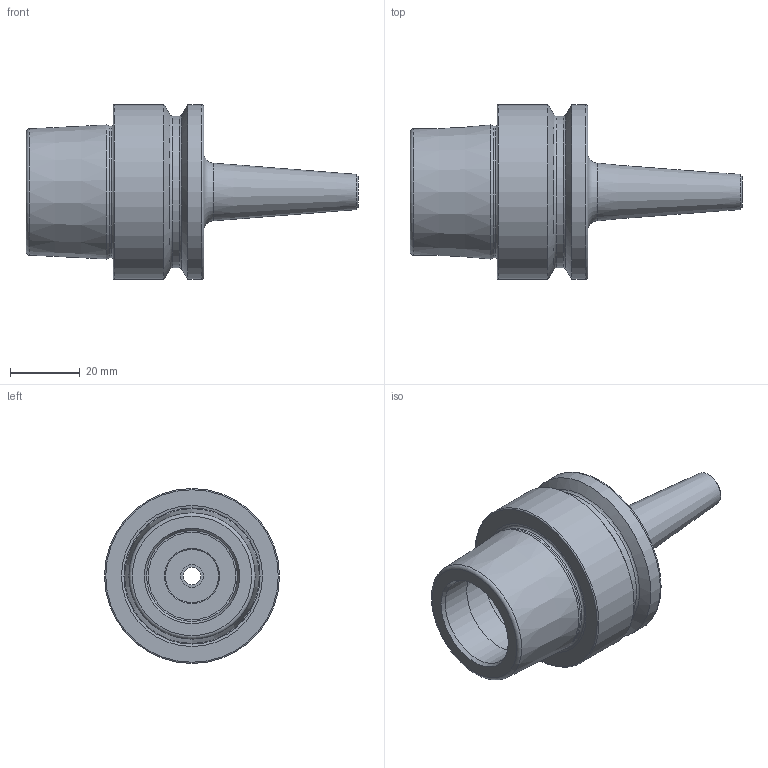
import cadquery as cq
import math


shank_length = 24.9
gauge_radius = 19.0
gauge_distance = 5.0
shank_slope = 1 / 20
shank_end_fillet = 1.0

relief_start = 1.9
relief_floor_start = 1.0
relief_floor_end = 0.45
relief_floor_radius = 18.85
relief_fillet = 0.6
relief_outer_radius = 20.15

flange_radius = 25.0
flange_width = 25.9
front_edge_fillet = 0.35
back_edge_fillet = 0.7

groove_centre = 17.95
groove_floor_radius = 21.65
groove_floor_width = 2.95
groove_flank_angle = math.radians(30)
groove_fillet = 0.9

nose_end = 70.0
nose_tip_radius = 5.0
nose_taper_angle = math.radians(4.5)
nose_tip_chamfer = 0.5
nose_root_fillet = 3.0

mouth_radius = 13.0
mouth_chamfer_height = 0.6
mouth_chamfer_length = 1.1
mouth_depth = 9.8
cavity_radius = 14.5
cavity_shoulder_angle = math.radians(60)
cavity_depth = 20.5
cavity_floor_fillet = 2.0

tube_bore_radius = 7.6
tube_bore_chamfer = 0.3
tube_bore_depth = 15.0
middle_bore_radius = 3.3
middle_bore_depth = 10.0
through_hole_radius = 2.5

open_end = -shank_length
cavity_floor = open_end + cavity_depth
tube_bore_end = cavity_floor + tube_bore_depth
middle_bore_end = tube_bore_end + middle_bore_depth


def shank_radius(x):
    """Radius of the shank taper at position x."""
    return gauge_radius + (x + gauge_distance) * shank_slope


def polar(centre, radius, angle):
    """Point at the given radius and angle from a centre point."""
    return (centre[0] + radius * math.cos(angle), centre[1] + radius * math.sin(angle))


def outline(x, radius):
    """Start a half profile whose points are (position along the axis, radius)."""
    return cq.Workplane("XZ").moveTo(x, radius)


def revolve(profile):
    """Close a half profile and turn it about the X axis."""
    return profile.close().revolve(360, (0, 0, 0), (1, 0, 0))


def make_shank():
    shank = revolve(
        outline(open_end, 0)
        .lineTo(open_end, shank_radius(open_end))
        .lineTo(0, shank_radius(0))
        .lineTo(0, 0)
    )
    return shank.faces("<X").edges().fillet(shank_end_fillet)


def make_flange():
    flange = revolve(
        outline(0, 0)
        .lineTo(0, flange_radius)
        .lineTo(flange_width, flange_radius)
        .lineTo(flange_width, 0)
    )
    flange = flange.faces("<X").edges().fillet(front_edge_fillet)
    return flange.faces(">X").edges().fillet(back_edge_fillet)


def make_relief():
    """Ring that undercuts the foot of the shank and the flange face."""
    arc_centre = (-relief_floor_end, relief_floor_radius + relief_fillet)
    return revolve(
        outline(-relief_start, shank_radius(-relief_start))
        .lineTo(-relief_floor_start, relief_floor_radius)
        .lineTo(-relief_floor_end, relief_floor_radius)
        .threePointArc(
            polar(arc_centre, relief_fillet, math.radians(-45)),
            polar(arc_centre, relief_fillet, 0),
        )
        .lineTo(0, relief_outer_radius)
        .lineTo(-relief_start, relief_outer_radius)
    )


def make_gripper_groove():
    """Ring with sloped flanks and rounded floor corners."""
    half_floor = groove_floor_width / 2
    depth = flange_radius - groove_floor_radius
    half_top = half_floor + depth * math.tan(groove_flank_angle)
    groove = revolve(
        outline(groove_centre - half_top, flange_radius)
        .lineTo(groove_centre - half_floor, groove_floor_radius)
        .lineTo(groove_centre + half_floor, groove_floor_radius)
        .lineTo(groove_centre + half_top, flange_radius)
    )
    floor_edges = cq.selectors.RadiusNthSelector(0)
    return groove.edges("%CIRCLE").edges(floor_edges).fillet(groove_fillet)


def make_nose():
    """Cone with a root arc tangent to both the cone and the flange face."""
    slope = math.tan(nose_taper_angle)
    arc_x = flange_width + nose_root_fillet
    cone_radius = nose_tip_radius + (nose_end - arc_x) * slope
    arc_centre = (arc_x, cone_radius + nose_root_fillet / math.cos(nose_taper_angle))
    face_angle = math.pi
    cone_angle = 1.5 * math.pi - nose_taper_angle
    nose = revolve(
        outline(flange_width, 0)
        .lineTo(*polar(arc_centre, nose_root_fillet, face_angle))
        .threePointArc(
            polar(arc_centre, nose_root_fillet, (face_angle + cone_angle) / 2),
            polar(arc_centre, nose_root_fillet, cone_angle),
        )
        .lineTo(nose_end, nose_tip_radius)
        .lineTo(nose_end, 0)
    )
    return nose.faces(">X").edges().chamfer(nose_tip_chamfer)


def make_cavity():
    mouth_end = open_end + mouth_depth
    shoulder_length = (cavity_radius - mouth_radius) / math.tan(cavity_shoulder_angle)
    arc_centre = (cavity_floor - cavity_floor_fillet, cavity_radius - cavity_floor_fillet)
    return revolve(
        outline(open_end, 0)
        .lineTo(open_end, mouth_radius + mouth_chamfer_height)
        .lineTo(open_end + mouth_chamfer_length, mouth_radius)
        .lineTo(mouth_end, mouth_radius)
        .lineTo(mouth_end + shoulder_length, cavity_radius)
        .lineTo(*polar(arc_centre, cavity_floor_fillet, math.radians(90)))
        .threePointArc(
            polar(arc_centre, cavity_floor_fillet, math.radians(45)),
            polar(arc_centre, cavity_floor_fillet, 0),
        )
        .lineTo(cavity_floor, 0)
    )


def make_axial_bores():
    return revolve(
        outline(cavity_floor, 0)
        .lineTo(cavity_floor, tube_bore_radius + tube_bore_chamfer)
        .lineTo(cavity_floor + tube_bore_chamfer, tube_bore_radius)
        .lineTo(tube_bore_end, tube_bore_radius)
        .lineTo(tube_bore_end, middle_bore_radius)
        .lineTo(middle_bore_end, middle_bore_radius)
        .lineTo(middle_bore_end, through_hole_radius)
        .lineTo(nose_end, through_hole_radius)
        .lineTo(nose_end, 0)
    )


flange = make_flange().cut(make_gripper_groove())
body = flange.union(make_shank()).cut(make_relief()).union(make_nose())
result = body.cut(make_cavity()).cut(make_axial_bores())